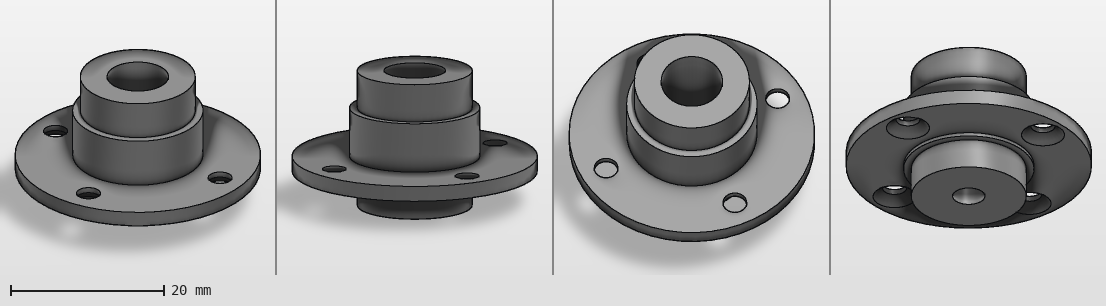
import cadquery as cq

spigot_diameter = 15.0
collar_diameter = 17.0
flange_diameter = 32.0

lower_spigot_height = 4.1
lower_collar_height = 0.5
flange_thickness = 2.0
upper_collar_height = 6.5
upper_spigot_height = 5.0

bore_diameter = 8.0
through_hole_diameter = 4.2
bore_floor_thickness = lower_spigot_height

mounting_hole_diameter = 3.1
mounting_circle_diameter = 25.0
mounting_hole_count = 4

countersink_diameter = 5.6
countersink_depth = (countersink_diameter - mounting_hole_diameter) / 2

flange_bottom = lower_spigot_height + lower_collar_height
collar_height = lower_collar_height + flange_thickness + upper_collar_height
total_height = lower_spigot_height + collar_height + upper_spigot_height


def cylinder(diameter, bottom, height):
    """Cylinder centred on the Z axis, standing on the given level."""
    return cq.Workplane("XY").workplane(offset=bottom).circle(diameter / 2).extrude(height)


def make_body():
    spigots = cylinder(spigot_diameter, 0, total_height)
    collar = cylinder(collar_diameter, lower_spigot_height, collar_height)
    flange = cylinder(flange_diameter, flange_bottom, flange_thickness)
    return spigots.union(collar).union(flange)


def make_stepped_bore():
    bore = cylinder(bore_diameter, bore_floor_thickness, total_height - bore_floor_thickness)
    through_hole = cylinder(through_hole_diameter, 0, total_height)
    return bore.union(through_hole)


def make_mounting_hole():
    """Straight hole on the Z axis that widens into a countersink at the flange underside."""
    hole = cylinder(mounting_hole_diameter, flange_bottom, flange_thickness)
    countersink = cq.Workplane(
        cq.Solid.makeCone(
            countersink_diameter / 2,
            mounting_hole_diameter / 2,
            countersink_depth,
            pnt=cq.Vector(0, 0, flange_bottom),
        )
    )
    return hole.union(countersink)


def cut_mounting_holes(body):
    hole = make_mounting_hole().translate((mounting_circle_diameter / 2, 0, 0))
    for index in range(mounting_hole_count):
        angle = index * 360 / mounting_hole_count
        body = body.cut(hole.rotate((0, 0, 0), (0, 0, 1), angle))
    return body


result = cut_mounting_holes(make_body().cut(make_stepped_bore()))